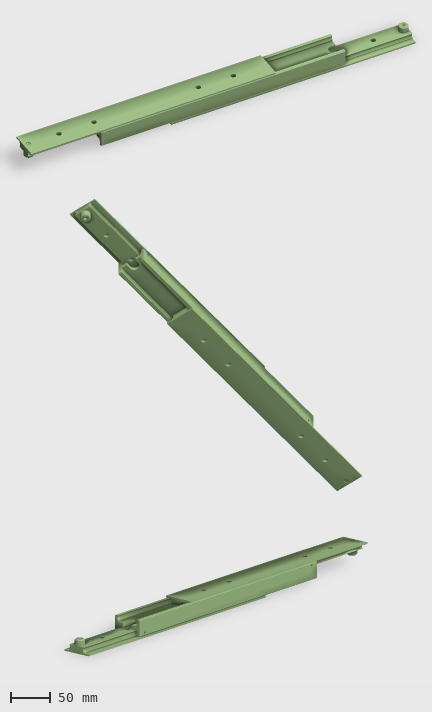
import cadquery as cq

overall_length = 550
rail_length = 350.0
slide_width = 40.0
slide_height = 28.0

flange_thickness = 2.0
head_width = 24.0
head_to_head_gap = 8.0
groove_depth = 1.5
groove_height = 6.0
groove_center_z = 7.5

middle_height = 22
middle_width = slide_width
middle_chamfer = 0.5
inner_width = 30.0
web_thickness = 5.0

mounting_hole_diameter = 7.0
mounting_hole_pitch = 50.0
mounting_holes_per_end = 2

stud_diameter = 13.0
stud_height = 8.0
stud_chamfer = 1.0
stud_sink_diameter = 5.5
stud_recess_diameter = 6.5
stud_recess_depth = 1.0
stud_sink_depth = 3.0
stud_inset = stud_diameter / 2

stop_slot_width = 14.0
side_hole_diameter = 3.5
side_hole_inset = 10.0

flange_top = slide_height / 2
flange_bottom = flange_top - flange_thickness
head_bottom = head_to_head_gap / 2
outer_end = -overall_length / 2
inner_end = outer_end + rail_length
stud_y = outer_end + stud_inset
groove_top = groove_center_z + groove_height / 2
groove_bottom = groove_center_z - groove_height / 2


def outer_rail_blank():
    """Flange with a narrower head below it and a round ball groove in each head side."""
    half_flange = slide_width / 2
    half_head = head_width / 2
    half_groove_floor = half_head - groove_depth
    return (
        cq.Workplane("XZ", origin=(0, outer_end, 0))
        .moveTo(-half_flange, flange_top)
        .lineTo(half_flange, flange_top)
        .lineTo(half_flange, flange_bottom)
        .lineTo(half_head, flange_bottom)
        .lineTo(half_head, groove_top)
        .threePointArc((half_groove_floor, groove_center_z), (half_head, groove_bottom))
        .lineTo(half_head, head_bottom)
        .lineTo(-half_head, head_bottom)
        .lineTo(-half_head, groove_bottom)
        .threePointArc((-half_groove_floor, groove_center_z), (-half_head, groove_top))
        .lineTo(-half_head, flange_bottom)
        .lineTo(-half_flange, flange_bottom)
        .close()
        .extrude(-rail_length)
    )


def mounting_hole_positions():
    """Hole centres in pairs of equal pitch from both ends of the upper rail."""
    positions = []
    for number in range(1, mounting_holes_per_end + 1):
        distance = number * mounting_hole_pitch
        positions += [(0, outer_end + distance), (0, inner_end - distance)]
    return positions


def make_stud():
    """Round stop below the rail head, with a conical sink in its free face."""
    stud = (
        cq.Workplane("XY")
        .workplane(offset=head_bottom - stud_height)
        .center(0, stud_y)
        .circle(stud_diameter / 2)
        .extrude(stud_height)
        .faces("<Z")
        .chamfer(stud_chamfer)
    )
    sink = cq.Solid.makeCone(
        stud_sink_diameter / 2,
        0,
        stud_sink_depth,
        pnt=cq.Vector(0, stud_y, head_bottom - stud_height),
        dir=cq.Vector(0, 0, 1),
    )
    return stud.cut(cq.Workplane(sink))


def make_upper_rail():
    rail = outer_rail_blank()
    holes = (
        cq.Workplane("XY")
        .pushPoints(mounting_hole_positions())
        .circle(mounting_hole_diameter / 2)
        .extrude(slide_height)
    )
    recess = (
        cq.Workplane("XY", origin=(0, stud_y, flange_top - stud_recess_depth))
        .circle(stud_recess_diameter / 2)
        .extrude(stud_recess_depth)
    )
    return rail.cut(holes).union(make_stud()).cut(recess)


def make_lower_rail():
    """The upper rail turned over about X, so that it extends the opposite way."""
    return make_upper_rail().rotate((0, 0, 0), (1, 0, 0), 180)


def middle_rail_blank():
    """H section with two round ball grooves inside each side wall."""
    half_inner = inner_width / 2
    channel_height = (middle_height - web_thickness) / 2
    start_y = -rail_length / 2
    rail = (
        cq.Workplane("XY")
        .box(middle_width, rail_length, middle_height)
        .edges("|Y")
        .chamfer(middle_chamfer)
    )
    for side in (1, -1):
        channel = (
            cq.Workplane("XY", origin=(0, 0, side * (middle_height - channel_height) / 2))
            .box(inner_width, rail_length, channel_height)
        )
        grooves = (
            cq.Workplane("XZ", origin=(0, start_y, 0))
            .moveTo(-half_inner, side * groove_top)
            .lineTo(half_inner, side * groove_top)
            .threePointArc(
                (half_inner + groove_depth, side * groove_center_z),
                (half_inner, side * groove_bottom),
            )
            .lineTo(-half_inner, side * groove_bottom)
            .threePointArc(
                (-half_inner - groove_depth, side * groove_center_z),
                (-half_inner, side * groove_top),
            )
            .close()
            .extrude(-rail_length)
        )
        rail = rail.cut(channel).cut(grooves)
    return rail


def make_middle_rail():
    rail = middle_rail_blank()
    for end in (1, -1):
        end_y = end * rail_length / 2
        slot = (
            cq.Workplane("XY")
            .center(0, end_y)
            .slot2D(2 * stud_inset + stop_slot_width, stop_slot_width, 90)
            .extrude(web_thickness / 2, both=True)
        )
        side_holes = (
            cq.Workplane("YZ")
            .center(end_y - end * side_hole_inset, -end * groove_center_z)
            .circle(side_hole_diameter / 2)
            .extrude(middle_width, both=True)
        )
        rail = rail.cut(slot).cut(side_holes)
    return rail


upper_rail = make_upper_rail()
lower_rail = make_lower_rail()
middle_rail = make_middle_rail()
result = cq.Compound.makeCompound([upper_rail.val(), lower_rail.val(), middle_rail.val()])